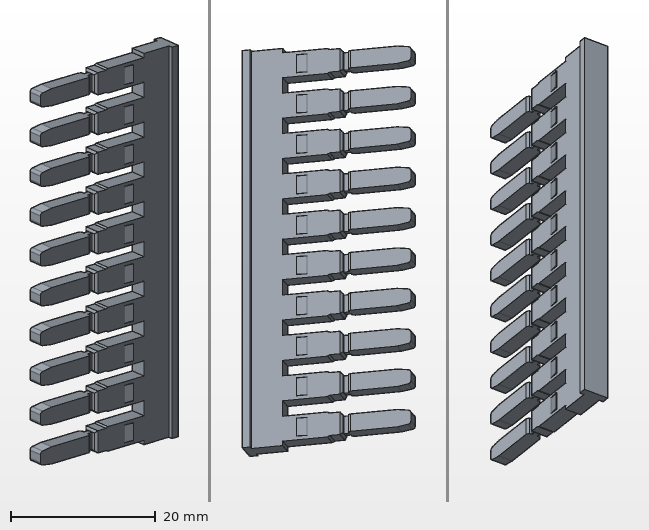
import cadquery as cq

LENGTH = 58.0

FLANGE_WIDTH = 3.9
FLANGE_DEPTH = 1.15
WEB_WIDTH = 2.55
WEB_DEPTH = 5.6

SHOULDER_START = 12.05
SHOULDER_END = 12.4
BEVEL_START = 13.85
ROOT_END = 14.2
BLADE_START = 14.95
FLARE_END = 15.35
TAPER_START = 22.05
PRONG_END = 24.0

ROOT_HEIGHT = 3.65
ROOT_STEPPED_HEIGHT = 3.3
ROOT_BEVEL = ROOT_END - BEVEL_START

BLADE_WIDTH = 2.25
BLADE_SHOULDER_WIDTH = 1.8
BLADE_HEIGHT = 2.55
NECK_WIDTH = 0.85
TIP_HEIGHT = 2.0
TIP_RADIUS = 0.45

LATCH_START = 7.65
LATCH_END = 9.1
LATCH_RISE = 0.2
LATCH_HEIGHT = 2.6

PRONG_COUNT = 10
END_MARGIN = 0.65
PRONG_PITCH = (LENGTH - 2 * END_MARGIN - ROOT_HEIGHT) / (PRONG_COUNT - 1)

OVERLAP = 0.3


def centered_block(start, end, width, height):
    """Block centred on X and Z that spans two distances from the back face."""
    return cq.Workplane("XY").box(width, end - start, height).translate((0, -(start + end) / 2, 0))


def mirrored_outline(plane, half_profile):
    """Closed outline on a plane from (distance, half size) pairs, symmetric about the Y axis."""
    if plane == "YZ":
        upper = [(-distance, half) for distance, half in half_profile]
        lower = [(y, -half) for y, half in reversed(upper)]
    else:
        upper = [(half, -distance) for distance, half in half_profile]
        lower = [(-half, y) for half, y in reversed(upper)]
    return cq.Workplane(plane).polyline(upper + lower).close()


def make_spine():
    flange = centered_block(0, FLANGE_DEPTH, FLANGE_WIDTH, LENGTH)
    web = centered_block(0, WEB_DEPTH, WEB_WIDTH, LENGTH)
    return flange.union(web)


def make_root():
    side_profile = [
        (WEB_DEPTH - OVERLAP, ROOT_HEIGHT / 2),
        (SHOULDER_START, ROOT_HEIGHT / 2),
        (SHOULDER_END, ROOT_STEPPED_HEIGHT / 2),
        (ROOT_END, ROOT_STEPPED_HEIGHT / 2),
    ]
    root = mirrored_outline("YZ", side_profile).extrude(WEB_WIDTH / 2, both=True)
    return root.faces("<Y").chamfer(ROOT_BEVEL)


def make_blade():
    side_profile = [
        (BLADE_START, BLADE_HEIGHT / 2),
        (TAPER_START, BLADE_HEIGHT / 2),
        (PRONG_END, TIP_HEIGHT / 2),
    ]
    blade = mirrored_outline("YZ", side_profile).extrude(BLADE_WIDTH / 2, both=True)
    blade = blade.faces("<Y").edges("|X").fillet(TIP_RADIUS)

    plan_profile = [
        (BLADE_START, BLADE_SHOULDER_WIDTH / 2),
        (FLARE_END, BLADE_WIDTH / 2),
        (PRONG_END, BLADE_WIDTH / 2),
    ]
    plan = mirrored_outline("XY", plan_profile).extrude(BLADE_HEIGHT, both=True)
    return blade.intersect(plan)


def make_neck():
    return centered_block(ROOT_END - OVERLAP, BLADE_START + OVERLAP, NECK_WIDTH, BLADE_HEIGHT)


def make_latches():
    """Wedges that stand proud at the rear and run out flush toward the prong tip."""
    plan_profile = [
        (LATCH_START, WEB_WIDTH / 2 + LATCH_RISE),
        (LATCH_END, WEB_WIDTH / 2),
    ]
    return mirrored_outline("XY", plan_profile).extrude(LATCH_HEIGHT / 2, both=True)


def make_prong():
    return make_root().union(make_neck()).union(make_blade()).union(make_latches())


result = make_spine()
prong = make_prong()
for index in range(PRONG_COUNT):
    prong_z = (index - (PRONG_COUNT - 1) / 2) * PRONG_PITCH
    result = result.union(prong.translate((0, 0, prong_z)))